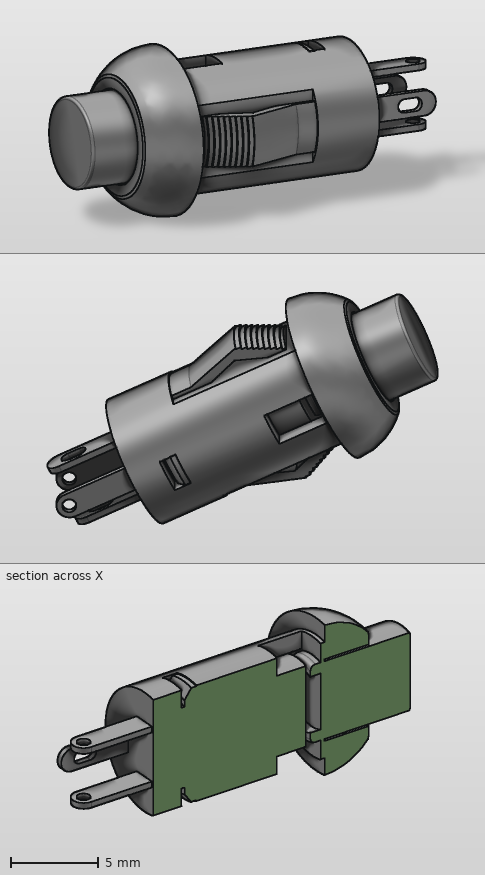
import cadquery as cq
import math


FLANGE_FRONT = 2.9
FLANGE_REAR = 6.0
CAVITY_FRONT = 6.3
CAVITY_REAR = 7.31
CLIP_ROOT = 14.03
BODY_REAR = 18.0
TERMINAL_TIP = 23.0

BUTTON_RADIUS = 5.4 / 2
BUTTON_FILLET = 0.15
BORE_RADIUS = 5.6 / 2
TAB_WIDTH = 1.75
TAB_TIP = 7.02
TAB_THICKNESS = 0.7
TAB_ROUND = 0.35

BODY_RADIUS = 7.8 / 2
FLAT_OFFSET = 3.25
FLANGE_RADIUS = 9.98 / 2
LIP_RADIUS = 3.6
LIP_BEVEL = 0.18
DOME_RADIUS = 4.05

WINDOW_WIDTH = 2.0
FRONT_WINDOW_REAR = 9.34
REAR_WINDOW_FRONT = 15.0
REAR_WINDOW_REAR = 16.0
HOOK_RIDGE = 15.35
HOOK_TOE = 15.82
HOOK_RADIUS = 3.85
HOOK_DROP = 0.65

CLIP_WIDTH = 3.0
CLIP_RADIUS = 3.8
CLIP_BEND = 12.79
CLIP_PEAK_RADIUS = 4.83
CLIP_PEAK = 9.4
CLIP_TIP = 6.8
STEP_COUNT = 9
STEP_PITCH = 0.3
FIRST_STEP_DROP = 0.07
STEP_DROP = 0.14
CLIP_INNER_RADIUS = 4.19
CLIP_INNER_PEAK = 9.8
CLIP_INNER_SLOPE = 0.34
CLIP_ROOT_RADIUS = 3.1

TERMINAL_WIDTH = 1.5
TERMINAL_THICKNESS = 0.4
TERMINAL_OFFSET = 1.8
TERMINAL_HOLE = 0.8
HOLE_INSET = 0.74
SIDE_TERMINAL_TIP = 22.7
SLOT_CENTRE = 21.02
SLOT_LENGTH = 1.55
TERMINAL_EMBED = 0.45


def revolve(profile):
    """Turn a closed (radius, Y) profile about the Y axis."""
    return profile.close().revolve(360, (0, 0, 0), (0, 1, 0))


def tube(outer, inner, front, rear):
    """Ring on the Y axis, given its two radii and end stations."""
    return revolve(
        cq.Workplane("XY").moveTo(inner, front).lineTo(outer, front).lineTo(outer, rear).lineTo(inner, rear)
    )


def rod(radius, front, rear):
    return tube(radius, 0, front, rear)


def slab(width, front, rear):
    """Block centred on X that crosses the whole part in Z."""
    return (
        cq.Workplane("XY")
        .box(width, rear - front, 2 * FLANGE_RADIUS, centered=(True, False, True))
        .translate((0, front, 0))
    )


def make_body():
    """Round body with a flat on each side behind the flange."""
    body = rod(BODY_RADIUS, FLANGE_REAR, BODY_REAR)
    for side in (-1, 1):
        flat = cq.Workplane("XY").box(
            FLANGE_RADIUS, CLIP_ROOT - FLANGE_REAR, 2 * FLANGE_RADIUS, centered=(True, False, True)
        )
        body = body.cut(flat.translate((side * (FLAT_OFFSET + FLANGE_RADIUS / 2), FLANGE_REAR, 0)))
    return body


def make_flange():
    """Domed flange, its arc square to the flat rear face and ending at the front lip."""
    arc_centre = FLANGE_RADIUS - DOME_RADIUS
    dome_front = FLANGE_REAR - math.sqrt(DOME_RADIUS**2 - (LIP_RADIUS - arc_centre) ** 2)
    mid_angle = math.acos((LIP_RADIUS - arc_centre) / DOME_RADIUS) / 2
    arc_mid = (
        arc_centre + DOME_RADIUS * math.cos(mid_angle),
        FLANGE_REAR - DOME_RADIUS * math.sin(mid_angle),
    )
    return revolve(
        cq.Workplane("XY")
        .moveTo(0, FLANGE_FRONT)
        .lineTo(LIP_RADIUS - LIP_BEVEL, FLANGE_FRONT)
        .lineTo(LIP_RADIUS, dome_front)
        .threePointArc(arc_mid, (FLANGE_RADIUS, FLANGE_REAR))
        .lineTo(0, FLANGE_REAR)
    )


def make_button():
    return rod(BUTTON_RADIUS, 0, FLANGE_REAR).faces("<Y").edges().fillet(BUTTON_FILLET)


def make_tabs():
    """Two tongues behind the button, rounded at the outer edge of their tips."""
    tabs = tube(BUTTON_RADIUS, BUTTON_RADIUS - TAB_THICKNESS, FLANGE_REAR, TAB_TIP)
    outer_tip = cq.selectors.RadiusNthSelector(-1)
    tabs = tabs.faces(">Y").edges(outer_tip).fillet(TAB_ROUND)
    return tabs.intersect(slab(TAB_WIDTH, FLANGE_REAR, TAB_TIP))


def make_front_windows():
    """Through opening ahead of a shallower pocket that stops at the core."""
    opening = slab(WINDOW_WIDTH, CAVITY_FRONT, CAVITY_REAR)
    pocket = slab(WINDOW_WIDTH, CAVITY_REAR, FRONT_WINDOW_REAR)
    return opening.union(pocket.cut(rod(BORE_RADIUS, CAVITY_REAR, FRONT_WINDOW_REAR)))


def make_rear_windows():
    """Pockets that leave a ramped hook standing against their front wall."""
    hook = revolve(
        cq.Workplane("XY")
        .moveTo(0, REAR_WINDOW_FRONT)
        .lineTo(HOOK_RADIUS, REAR_WINDOW_FRONT)
        .lineTo(HOOK_RADIUS, HOOK_RIDGE)
        .lineTo(HOOK_RADIUS - HOOK_DROP, HOOK_TOE)
        .lineTo(0, HOOK_TOE)
    )
    core = rod(BORE_RADIUS, REAR_WINDOW_FRONT, REAR_WINDOW_REAR)
    return slab(WINDOW_WIDTH, REAR_WINDOW_FRONT, REAR_WINDOW_REAR).cut(hook).cut(core)


def make_clips():
    """Left and right bent springs with a stepped grip from the peak to the free tip."""
    profile = (
        cq.Workplane("XY")
        .moveTo(CLIP_ROOT_RADIUS, CLIP_ROOT)
        .lineTo(CLIP_RADIUS, CLIP_ROOT)
        .lineTo(CLIP_RADIUS, CLIP_BEND)
        .lineTo(CLIP_PEAK_RADIUS, CLIP_PEAK)
    )
    for step in range(STEP_COUNT):
        step_y = CLIP_PEAK - step * STEP_PITCH
        step_radius = CLIP_PEAK_RADIUS - FIRST_STEP_DROP - step * STEP_DROP
        next_y = max(step_y - STEP_PITCH, CLIP_TIP)
        profile = profile.lineTo(step_radius, step_y).lineTo(step_radius, next_y)
    inner_run = (CLIP_INNER_RADIUS - CLIP_ROOT_RADIUS) / CLIP_INNER_SLOPE
    tip_inner = CLIP_INNER_RADIUS - CLIP_INNER_SLOPE * (CLIP_INNER_PEAK - CLIP_TIP)
    profile = (
        profile.lineTo(tip_inner, CLIP_TIP)
        .lineTo(CLIP_INNER_RADIUS, CLIP_INNER_PEAK)
        .lineTo(CLIP_ROOT_RADIUS, CLIP_INNER_PEAK + inner_run)
    )
    band = cq.Workplane("XY").box(
        2 * FLANGE_RADIUS, CLIP_ROOT - CLIP_TIP, CLIP_WIDTH, centered=(True, False, True)
    )
    springs = revolve(profile).intersect(band.translate((0, CLIP_TIP, 0)))
    return springs.cut(slab(2 * CLIP_ROOT_RADIUS, CLIP_TIP, CLIP_ROOT))


def make_blade(tip):
    """Flat terminal in the XY plane with a full-round end at the tip."""
    root = BODY_REAR - TERMINAL_EMBED
    half_width = TERMINAL_WIDTH / 2
    return (
        cq.Workplane("XY")
        .moveTo(-half_width, root)
        .lineTo(half_width, root)
        .lineTo(half_width, tip - half_width)
        .threePointArc((0, tip), (-half_width, tip - half_width))
        .close()
        .extrude(TERMINAL_THICKNESS / 2, both=True)
    )


def make_terminals():
    """Flat pair above and below the axis, upright slotted pair left and right."""
    hole = (
        cq.Workplane("XY")
        .center(0, TERMINAL_TIP - HOLE_INSET)
        .circle(TERMINAL_HOLE / 2)
        .extrude(TERMINAL_THICKNESS, both=True)
    )
    slot = (
        cq.Workplane("XY")
        .center(0, SLOT_CENTRE)
        .slot2D(SLOT_LENGTH, TERMINAL_HOLE, 90)
        .extrude(TERMINAL_THICKNESS, both=True)
    )
    flat_blade = make_blade(TERMINAL_TIP).cut(hole)
    upright_blade = make_blade(SIDE_TERMINAL_TIP).cut(slot).rotate((0, 0, 0), (0, 1, 0), 90)
    terminals = []
    for side in (-1, 1):
        terminals.append(flat_blade.translate((0, 0, side * TERMINAL_OFFSET)))
        terminals.append(upright_blade.translate((side * TERMINAL_OFFSET, 0, 0)))
    return terminals


housing = make_body().union(make_clips()).union(make_flange())
housing = housing.cut(tube(BORE_RADIUS, BUTTON_RADIUS, FLANGE_FRONT, FLANGE_REAR))
housing = housing.cut(rod(BORE_RADIUS, CAVITY_FRONT, CAVITY_REAR))
housing = housing.cut(make_front_windows()).cut(make_rear_windows())

result = housing.union(make_button()).union(make_tabs())
for terminal in make_terminals():
    result = result.union(terminal)